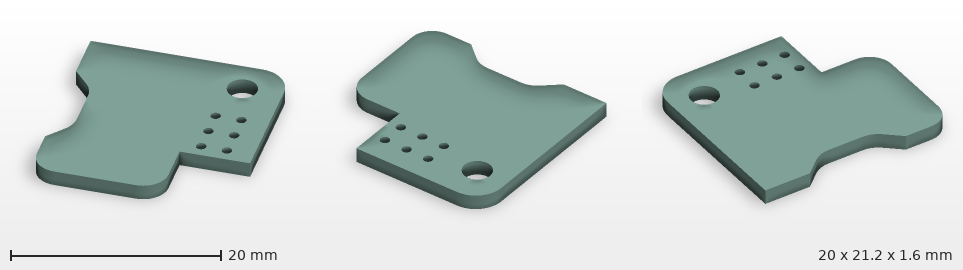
import cadquery as cq
import math

width = 19.98
height = 21.2
thickness = 1.6

tab_width = 13.0
cutout_height = 6.32

top_corner_radius = 3.0
tab_right_radius = 2.5
tab_left_radius = 2.33

recess_bottom = 5.22
recess_top = 16.15
recess_depth = 2.16
recess_slope_angle = 41.0
recess_corner_radius = 2.71

mount_diameter = 3.0
mount_x = 16.01
mount_y = 17.69

pin_diameter = 1.0
pin_pitch = 2.55
pin_columns = 2
pin_rows = 3
first_pin_x = 14.75
first_pin_y = 7.72


def plate_with_recess():
    slope_rise = recess_depth / math.tan(math.radians(recess_slope_angle))
    outline = [
        (0, 0),
        (tab_width, 0),
        (tab_width, cutout_height),
        (width, cutout_height),
        (width, height),
        (0, height),
        (0, recess_top),
        (recess_depth, recess_top - slope_rise),
        (recess_depth, recess_bottom + slope_rise),
        (0, recess_bottom),
    ]
    return cq.Workplane("XY").polyline(outline).close().extrude(thickness)


def round_corner(body, x, y, radius):
    corner = cq.selectors.NearestToPointSelector((x, y, thickness / 2))
    return body.edges("|Z").edges(corner).fillet(radius)


def hole_cutter(centers, diameter):
    return cq.Workplane("XY").pushPoints(centers).circle(diameter / 2).extrude(thickness)


plate = plate_with_recess()
inner_edges = plate.edges("|Z").edges(
    cq.selectors.BoxSelector(
        (recess_depth / 2, recess_bottom, 0),
        (tab_width / 2, recess_top, thickness),
    )
)
plate = inner_edges.fillet(recess_corner_radius)
plate = round_corner(plate, width, height, top_corner_radius)
plate = round_corner(plate, tab_width, 0, tab_right_radius)
plate = round_corner(plate, 0, 0, tab_left_radius)

pin_centers = [
    (first_pin_x + column * pin_pitch, first_pin_y + row * pin_pitch)
    for column in range(pin_columns)
    for row in range(pin_rows)
]
plate = plate.cut(hole_cutter([(mount_x, mount_y)], mount_diameter))
result = plate.cut(hole_cutter(pin_centers, pin_diameter))